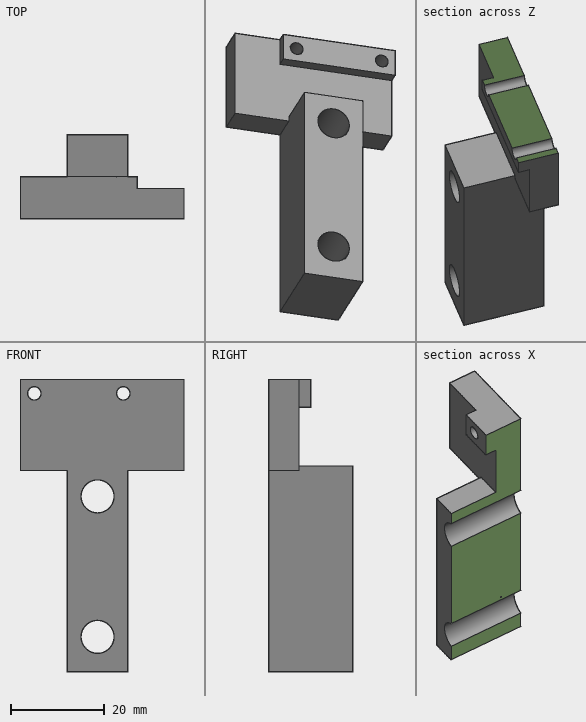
import cadquery as cq

width = 35.0
depth = 18.0
height = 62.5

head_height = 19.5
plate_depth = 6.5
ledge_depth = 9.0
ledge_width = 25.0
ledge_height = 6.0

stem_left = 10.0
stem_width = 13.0
stem_height = 44.0

pin_diameter = 2.8
pin_inset = 3.0
pin_spacing = 19.0
bolt_diameter = 7.0
bolt_bottom = 7.5
bolt_spacing = 30.0


def block(x, z, size_x, size_y, size_z):
    """Box with its front face on y = 0 and its lower left corner at x, z."""
    return cq.Workplane("XY").box(size_x, size_y, size_z, centered=False).translate((x, 0, z))


def hole_cutter(x, z, diameter):
    """Cylinder along Y through the full depth of the part."""
    return cq.Workplane("XZ").center(x, z).circle(diameter / 2).extrude(-depth)


plate = block(0, height - head_height, width, plate_depth, head_height)
ledge = block(0, height - ledge_height, ledge_width, ledge_depth, ledge_height)
stem = block(stem_left, 0, stem_width, depth, stem_height)
result = plate.union(ledge).union(stem)

for x in (pin_inset, pin_inset + pin_spacing):
    result = result.cut(hole_cutter(x, height - pin_inset, pin_diameter))

stem_center = stem_left + stem_width / 2
for z in (bolt_bottom, bolt_bottom + bolt_spacing):
    result = result.cut(hole_cutter(stem_center, z, bolt_diameter))